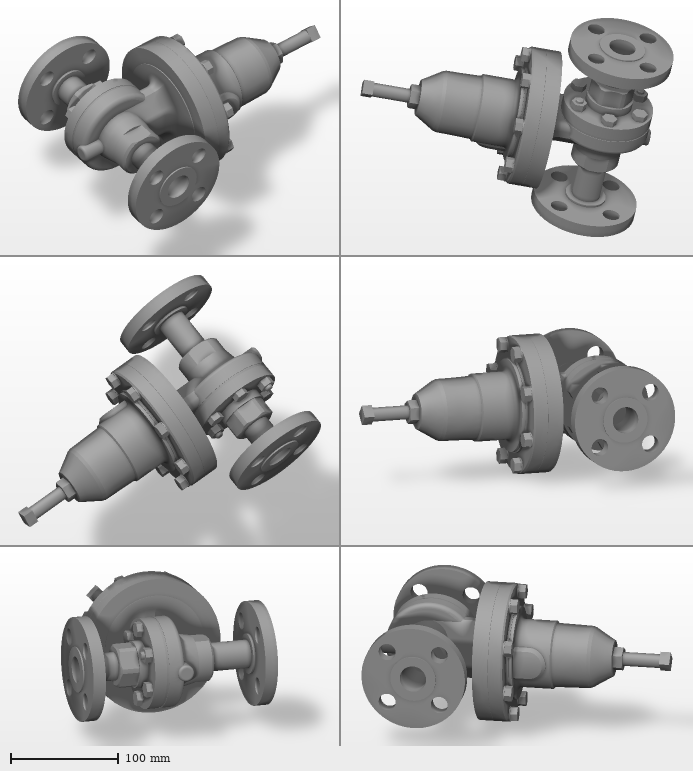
import cadquery as cq
import math


PIPE_LEFT_END = -94.0
PIPE_RIGHT_END = 90.0
PIPE_DIA = 26.7
BORE_DIA = 25.0
FLANGE_DIA = 98.3
FLANGE_THICK = 12.2
RAISED_FACE_DIA = 43.0
RAISED_FACE_HEIGHT = 1.5
HUB_DIA = 38.0
HUB_HEIGHT = 2.2
FLANGE_HOLE_DIA = 16.0
FLANGE_HOLE_PITCH = 49.5

UNION_LEFT = -56.5
UNION_RIGHT = -38.3
UNION_FLATS = 38.0
UNION_CORNER_DIA = 41.7
UNION_CHAMFER_LENGTH = 1.7
UNION_CHAMFER_DEPTH = 2.5
COLLAR_DIA = 44.2

COVER_LEFT = -30.0
COVER_RIGHT = -18.3
BODY_LEFT = -15.8
BODY_RIGHT = 0.0
BODY_DIA = 85.5
GASKET_DIA = 84.5
BODY_FILLET = 4.7

COVER_BOLT_COUNT = 6
COVER_BOLT_RADIUS = 33.5
COVER_BOLT_FLATS = 12.8
COVER_HEAD_HEIGHT = 5.8
STUD_NUT_HEIGHT = 7.0
STUD_DIA = 7.5
STUD_LENGTH = 10.0
STUD_CHAMFER = 0.8
STUD_POSITIONS = (1, 4)

CONE_START_RADIUS = 26.7
OUTLET_LEFT = 19.5
OUTLET_RIGHT = 35.3
OUTLET_DIA = 45.0
OUTLET_FLATS = 39.5
OUTLET_CHAMFER = 2.2

DRAIN_DIA = 15.5
DRAIN_END = -45.5
DRAIN_FILLET = 2.5

NECK_LEFT = -15.5
NECK_RIGHT = 13.3
NECK_HALF_WIDTH = 28.5
NECK_SLOPE_START = -2.0
NECK_SLOPE_END_HALF_WIDTH = 12.8
NECK_CORNER_RADIUS = 6.7
NECK_FLARE_RADIUS = 9.0
SELECT_MARGIN = 0.3

CASE_DIA = 130.0
CASE_PAD_DIA = 97.7
CASE_PAD_BOTTOM = 50.5
CASE_BOTTOM = 51.5
CASE_JOINT = 66.5
CASE_EDGE_TOP = 78.3
CASE_TOP = 80.0
CASE_EDGE_INSET = 1.5
JOINT_GROOVE = 0.3
STEP_DIA = 90.0
STEP_TOP = 82.2
HOUSING_BASE_DIA = 87.8
HOUSING_BASE_TOP = 85.3

CASE_BOLT_COUNT = 8
CASE_BOLT_RADIUS = 57.5
CASE_BOLT_FLATS = 12.8
CASE_BOLT_TOP = 87.8
WASHER_DIA = 14.5
WASHER_THICK = 1.0

HOUSING_RADIUS = 32.0
HOUSING_FLARE_RADIUS = 4.0
HOUSING_SHOULDER = 119.0
SHOULDER_CHAMFER = 1.5
SLEEVE_BOTTOM_RADIUS = 30.0
SLEEVE_TOP_RADIUS = 29.2
SLEEVE_TOP = 153.5
CONE_BOTTOM = 157.0
CONE_BOTTOM_RADIUS = 28.0
CONE_TOP = 175.2
CONE_TOP_RADIUS = 17.0

VENT_CENTER = 99.5
VENT_RADIUS = 16.0
VENT_OUTER_RADIUS = 36.7
VENT_CHAMFER = 3.0

LOCK_NUT_FLATS = 19.7
LOCK_NUT_TOP = 183.8
LOCK_NUT_CHAMFER = 0.8
SCREW_DIA = 13.0
SCREW_HEAD_BOTTOM = 218.8
SCREW_TOP = 228.5
SCREW_HEAD_DIAGONAL = 18.5


def hex_corner_dia(flats):
    """Corner-to-corner size of a hexagon with the given size across flats."""
    return flats / math.cos(math.pi / 6)


def cylinder_x(left, right, dia):
    """Cylinder on the pipe axis."""
    return cq.Workplane("YZ", origin=(left, 0, 0)).circle(dia / 2).extrude(right - left)


def cylinder_y(bottom, top, dia):
    """Cylinder on the housing axis."""
    return cq.Workplane("XZ", origin=(0, bottom, 0)).circle(dia / 2).extrude(bottom - top)


def hex_y(bottom, top, flats):
    """Hexagonal prism on the housing axis with two corners on the local X axis."""
    plane = cq.Workplane("XZ", origin=(0, bottom, 0))
    return plane.polygon(6, hex_corner_dia(flats)).extrude(bottom - top)


def pipe_flange(face, inward):
    """Flange and hub; inward is +1 or -1, the direction along X from the face into the part."""
    plate = face + inward * RAISED_FACE_HEIGHT
    back = plate + inward * FLANGE_THICK
    disc = cylinder_x(plate, back, FLANGE_DIA)
    holes = (
        cq.Workplane("YZ", origin=(plate, 0, 0))
        .rect(FLANGE_HOLE_PITCH, FLANGE_HOLE_PITCH, forConstruction=True)
        .vertices()
        .circle(FLANGE_HOLE_DIA / 2)
        .extrude(back - plate)
    )
    raised_face = cylinder_x(face, plate, RAISED_FACE_DIA)
    hub = cylinder_x(back, back + inward * HUB_HEIGHT, HUB_DIA)
    return disc.cut(holes).union(raised_face).union(hub)


def inlet_union():
    """Hexagonal union with its corners turned off and its outer end chamfered, plus the collar."""
    radius = UNION_CORNER_DIA / 2
    turned = (
        cq.Workplane("XY")
        .moveTo(UNION_LEFT, 0)
        .lineTo(UNION_LEFT, radius - UNION_CHAMFER_DEPTH)
        .lineTo(UNION_LEFT + UNION_CHAMFER_LENGTH, radius)
        .lineTo(UNION_RIGHT, radius)
        .lineTo(UNION_RIGHT, 0)
        .close()
        .revolve(360, (0, 0, 0), (1, 0, 0))
    )
    hexagon = (
        cq.Workplane("YZ", origin=(UNION_LEFT, 0, 0))
        .polygon(6, hex_corner_dia(UNION_FLATS))
        .extrude(UNION_RIGHT - UNION_LEFT)
    )
    return turned.intersect(hexagon).union(cylinder_x(UNION_RIGHT, COVER_LEFT, COLLAR_DIA))


def body():
    """Cover, gasket, body disc and the outlet cone with its flatted boss."""
    cover = cylinder_x(COVER_LEFT, COVER_RIGHT, BODY_DIA)
    gasket = cylinder_x(COVER_RIGHT, BODY_LEFT, GASKET_DIA)
    disc = cylinder_x(BODY_LEFT, BODY_RIGHT, BODY_DIA).faces(">X").edges().fillet(BODY_FILLET)
    cone = (
        cq.Workplane("XY")
        .moveTo(BODY_RIGHT, 0)
        .lineTo(BODY_RIGHT, CONE_START_RADIUS)
        .lineTo(OUTLET_LEFT, OUTLET_DIA / 2)
        .lineTo(OUTLET_LEFT, 0)
        .close()
        .revolve(360, (0, 0, 0), (1, 0, 0))
    )
    outlet_length = OUTLET_RIGHT - OUTLET_LEFT
    flats = cq.Workplane("XY").box(outlet_length, OUTLET_DIA, OUTLET_FLATS)
    flats = flats.translate(((OUTLET_LEFT + OUTLET_RIGHT) / 2, 0, 0))
    outlet = cylinder_x(OUTLET_LEFT, OUTLET_RIGHT, OUTLET_DIA)
    outlet = outlet.faces(">X").edges().chamfer(OUTLET_CHAMFER).intersect(flats)
    return cover.union(gasket).union(disc).union(cone).union(outlet)


def cover_bolt(index):
    """One cover fastener with its hexagon corners along Y."""
    angle = math.radians(90 + index * 360 / COVER_BOLT_COUNT)
    y = COVER_BOLT_RADIUS * math.cos(angle)
    z = COVER_BOLT_RADIUS * math.sin(angle)
    has_stud = index in STUD_POSITIONS
    height = STUD_NUT_HEIGHT if has_stud else COVER_HEAD_HEIGHT
    plane = cq.Workplane("YZ", origin=(COVER_LEFT, y, z))
    fastener = plane.polygon(6, hex_corner_dia(COVER_BOLT_FLATS)).extrude(-height)
    if has_stud:
        stud = plane.circle(STUD_DIA / 2).extrude(-STUD_LENGTH)
        fastener = fastener.union(stud.faces("<X").chamfer(STUD_CHAMFER))
    return fastener


def neck():
    """Neck from the pipe axis up to the case; the side towards the outlet narrows."""
    prism = (
        cq.Workplane("XZ")
        .moveTo(NECK_LEFT, -NECK_HALF_WIDTH)
        .lineTo(NECK_SLOPE_START, -NECK_HALF_WIDTH)
        .lineTo(NECK_RIGHT, -NECK_SLOPE_END_HALF_WIDTH)
        .lineTo(NECK_RIGHT, NECK_SLOPE_END_HALF_WIDTH)
        .lineTo(NECK_SLOPE_START, NECK_HALF_WIDTH)
        .lineTo(NECK_LEFT, NECK_HALF_WIDTH)
        .close()
        .extrude(-CASE_BOTTOM)
    )
    return prism.edges("|Y").edges("<X or >X").fillet(NECK_CORNER_RADIUS)


def diaphragm_case():
    """Two case plates and the neck, blended by a flare under the lower plate."""
    pad = cylinder_y(CASE_PAD_BOTTOM, CASE_BOTTOM, CASE_PAD_DIA)
    reach = NECK_HALF_WIDTH + NECK_FLARE_RADIUS
    flare_edges = cq.selectors.BoxSelector(
        (-reach, CASE_PAD_BOTTOM - SELECT_MARGIN, -reach),
        (reach, CASE_PAD_BOTTOM + SELECT_MARGIN, reach),
        boundingbox=True,
    )
    flared_neck = pad.union(neck()).edges(flare_edges).fillet(NECK_FLARE_RADIUS)
    radius = CASE_DIA / 2
    plates = (
        cq.Workplane("XY")
        .moveTo(0, CASE_BOTTOM)
        .lineTo(radius, CASE_BOTTOM)
        .lineTo(radius, CASE_JOINT - JOINT_GROOVE / 2)
        .lineTo(radius - JOINT_GROOVE, CASE_JOINT)
        .lineTo(radius, CASE_JOINT + JOINT_GROOVE / 2)
        .lineTo(radius, CASE_EDGE_TOP)
        .lineTo(radius - CASE_EDGE_INSET, CASE_TOP)
        .lineTo(0, CASE_TOP)
        .close()
        .revolve(360, (0, 0, 0), (0, 1, 0))
    )
    step = cylinder_y(CASE_TOP, STEP_TOP, STEP_DIA)
    base = cylinder_y(STEP_TOP, HOUSING_BASE_TOP, HOUSING_BASE_DIA)
    return plates.union(flared_neck).union(step).union(base)


def case_bolt(index):
    """One case bolt with its washer."""
    pitch = 360 / CASE_BOLT_COUNT
    bolt_angle = (index + 0.5) * pitch
    head_turn = (index + 1) * pitch
    head_bottom = CASE_TOP + WASHER_THICK
    head = hex_y(head_bottom, CASE_BOLT_TOP, CASE_BOLT_FLATS)
    head = head.rotate((0, 0, 0), (0, 1, 0), -head_turn)
    washer = cylinder_y(CASE_TOP, head_bottom, WASHER_DIA)
    x = CASE_BOLT_RADIUS * math.cos(math.radians(bolt_angle))
    z = CASE_BOLT_RADIUS * math.sin(math.radians(bolt_angle))
    return head.union(washer).translate((x, 0, z))


def spring_housing():
    """Stepped housing with a flared foot and a conical top."""
    flare_top = HOUSING_BASE_TOP + HOUSING_FLARE_RADIUS
    flare_mid = HOUSING_FLARE_RADIUS * (1 - math.cos(math.pi / 4))
    return (
        cq.Workplane("XY")
        .moveTo(0, HOUSING_BASE_TOP)
        .lineTo(HOUSING_RADIUS + HOUSING_FLARE_RADIUS, HOUSING_BASE_TOP)
        .threePointArc(
            (HOUSING_RADIUS + flare_mid, HOUSING_BASE_TOP + flare_mid),
            (HOUSING_RADIUS, flare_top),
        )
        .lineTo(HOUSING_RADIUS, HOUSING_SHOULDER)
        .lineTo(SLEEVE_BOTTOM_RADIUS, HOUSING_SHOULDER + SHOULDER_CHAMFER)
        .lineTo(SLEEVE_TOP_RADIUS, SLEEVE_TOP)
        .lineTo(CONE_BOTTOM_RADIUS, CONE_BOTTOM)
        .lineTo(CONE_TOP_RADIUS, CONE_TOP)
        .lineTo(0, CONE_TOP)
        .close()
        .revolve(360, (0, 0, 0), (0, 1, 0))
    )


def vent_pad():
    """Round-topped pad whose outer face follows the housing and has a chamfered rim."""
    outline = (
        cq.Workplane("YZ")
        .moveTo(HOUSING_BASE_TOP, -VENT_RADIUS)
        .lineTo(VENT_CENTER, -VENT_RADIUS)
        .threePointArc((VENT_CENTER + VENT_RADIUS, 0), (VENT_CENTER, VENT_RADIUS))
        .lineTo(HOUSING_BASE_TOP, VENT_RADIUS)
        .close()
        .extrude(2 * VENT_OUTER_RADIUS)
    )
    envelope = cylinder_y(HOUSING_BASE_TOP, HOUSING_SHOULDER, 2 * VENT_OUTER_RADIUS)
    pad = outline.intersect(envelope)
    rim = pad.faces(">X").edges("not <Y")
    return rim.chamfer(VENT_CHAMFER)


def adjusting_screw():
    """Screw with a lock nut and a square head, corners of both facing +Z and -Z."""
    nut_dia = hex_corner_dia(LOCK_NUT_FLATS)
    nut = hex_y(CONE_TOP, LOCK_NUT_TOP, LOCK_NUT_FLATS).rotate((0, 0, 0), (0, 1, 0), 90)
    turned = cylinder_y(CONE_TOP, LOCK_NUT_TOP, nut_dia).faces(">Y").edges().chamfer(LOCK_NUT_CHAMFER)
    shank = cylinder_y(LOCK_NUT_TOP, SCREW_HEAD_BOTTOM, SCREW_DIA)
    head = (
        cq.Workplane("XZ", origin=(0, SCREW_HEAD_BOTTOM, 0))
        .polygon(4, SCREW_HEAD_DIAGONAL)
        .extrude(SCREW_HEAD_BOTTOM - SCREW_TOP)
    )
    return nut.intersect(turned).union(shank).union(head)


drain = cylinder_y(DRAIN_END, 0, DRAIN_DIA).faces("<Y").edges().fillet(DRAIN_FILLET)
result = body().union(drain).union(inlet_union()).union(diaphragm_case())
for bolt_index in range(COVER_BOLT_COUNT):
    result = result.union(cover_bolt(bolt_index))

result = result.union(spring_housing()).union(vent_pad()).union(adjusting_screw())
for bolt_index in range(CASE_BOLT_COUNT):
    result = result.union(case_bolt(bolt_index))

for face, pipe_root, inward in ((PIPE_LEFT_END, UNION_LEFT, 1), (PIPE_RIGHT_END, OUTLET_RIGHT, -1)):
    result = result.union(cylinder_x(face, pipe_root, PIPE_DIA)).union(pipe_flange(face, inward))
    result = result.cut(cylinder_x(face, pipe_root, BORE_DIA))